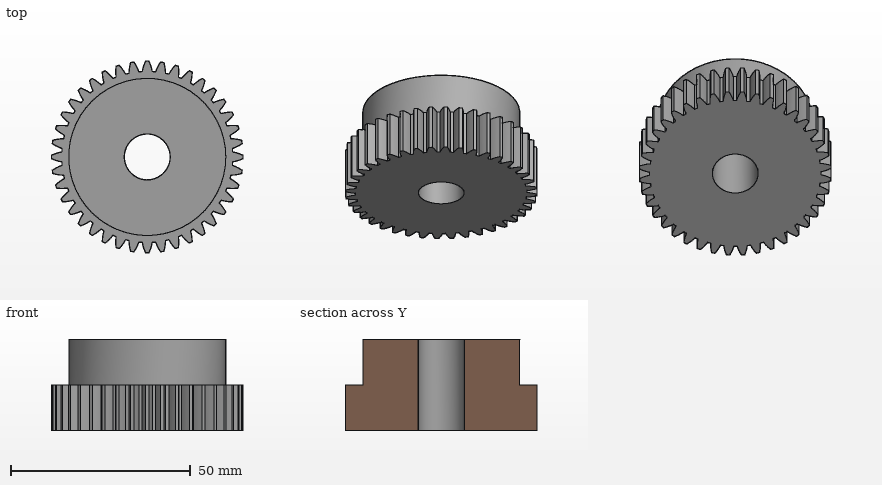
import cadquery as cq
import math

tip_diameter = 53.35
tooth_count = 40
dedendum_factor = 1.25
tip_thickness = 0.95
root_thickness = 2.85
face_width = 12.7
hub_height = 12.7
hub_diameter = 43.7
bore_diameter = 12.7

module = tip_diameter / (tooth_count + 2)
tip_radius = tip_diameter / 2
pitch_radius = module * tooth_count / 2
root_radius = pitch_radius - dedendum_factor * module
pitch_thickness = math.pi * module / 2
tooth_angle = 2 * math.pi / tooth_count


def polar(radius, angle):
    return (radius * math.cos(angle), radius * math.sin(angle))


def flank_point(radius, thickness, center_angle, side):
    """Point on a tooth flank; side is -1 or +1 and thickness is measured along the circle."""
    return polar(radius, center_angle + side * thickness / (2 * radius))


def gear_outline():
    """Closed outline of the toothed rim: every flank, tip and root land is one arc."""
    outline = cq.Workplane("XY").moveTo(*flank_point(root_radius, root_thickness, 0, -1))
    for index in range(tooth_count):
        center = index * tooth_angle
        next_center = center + tooth_angle
        outline = (
            outline
            .threePointArc(
                flank_point(pitch_radius, pitch_thickness, center, -1),
                flank_point(tip_radius, tip_thickness, center, -1),
            )
            .threePointArc(
                polar(tip_radius, center),
                flank_point(tip_radius, tip_thickness, center, 1),
            )
            .threePointArc(
                flank_point(pitch_radius, pitch_thickness, center, 1),
                flank_point(root_radius, root_thickness, center, 1),
            )
            .threePointArc(
                polar(root_radius, center + tooth_angle / 2),
                flank_point(root_radius, root_thickness, next_center, -1),
            )
        )
    return outline.close()


toothed_rim = gear_outline().extrude(face_width)
total_height = face_width + hub_height
hub = cq.Workplane("XY").circle(hub_diameter / 2).extrude(total_height)
bore = cq.Workplane("XY").circle(bore_diameter / 2).extrude(total_height)

result = toothed_rim.union(hub).cut(bore)